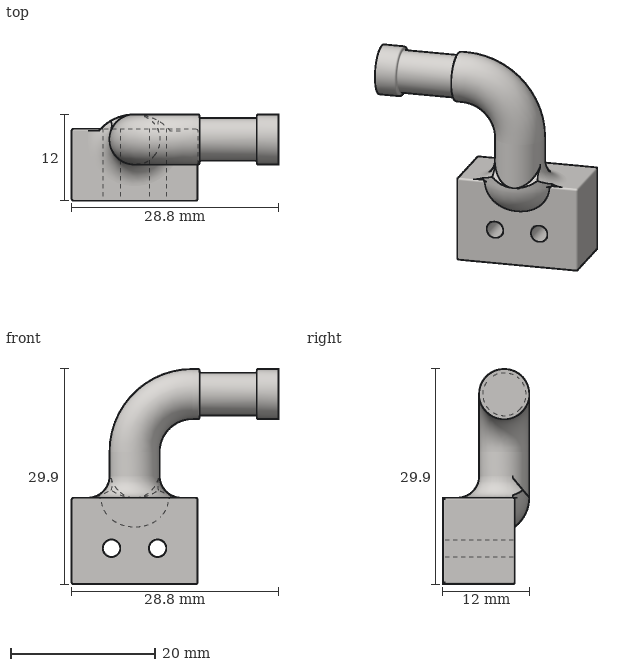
import cadquery as cq

block_length = 17.5
block_depth = 10.0
block_height = 12.0
edge_radius = 0.3

hole_diameter = 2.4
hole_spacing = 6.4
hole_height = 5.0

tube_radius = 3.5
bend_radius = 8.0
total_height = 29.88
total_length = 28.75
back_overhang = 2.0
root_fillet = 3.0

bulge_radius = 6.48
bulge_drop = 5.08
flare_fade_length = 2.5

neck_radius = 3.0
neck_start = 17.78
collar_start = 25.7
shoulder_radius = 0.25
neck_fillet = 0.12

tube_x = block_length / 2
tube_back_y = block_depth + back_overhang
tube_y = tube_back_y - tube_radius
bulge_y = tube_back_y - bulge_radius
outlet_z = total_height - tube_radius
bend_start_z = outlet_z - bend_radius
bend_end_x = tube_x + bend_radius


def mounting_block():
    """Block with rounded edges, except the two along the front face's top and bottom."""
    block = cq.Workplane("XY").box(block_length, block_depth, block_height, centered=False)
    return block.edges("|Y or |Z or >Y").fillet(edge_radius)


def upright():
    """Vertical part of the tube, standing on the level of the block top."""
    base = cq.Workplane("XY", origin=(tube_x, tube_y, block_height))
    return base.circle(tube_radius).extrude(bend_start_z - block_height)


def root_flare():
    """Concave flare all around the foot of the tube, filled in the middle."""
    foot_radius = tube_radius + root_fillet
    profile = (
        cq.Workplane("XZ", origin=(tube_x, tube_y, block_height))
        .lineTo(foot_radius, 0)
        .radiusArc((tube_radius, root_fillet), root_fillet)
        .lineTo(0, root_fillet)
        .close()
    )
    return profile.revolve(360, (0, 0, 0), (0, 1, 0))


def keep_between(body, y_start, y_end):
    """The part of a body that lies between two Y positions."""
    slab = cq.Workplane("XY", origin=(0, y_start, 0))
    return body.intersect(slab.box(total_length, y_end - y_start, total_height, centered=False))


def back_bulge():
    """Barrel-shaped swelling that carries the overhanging tube behind the block."""
    profile = (
        cq.Workplane("XZ", origin=(tube_x, bulge_y, block_height))
        .lineTo(bulge_radius, 0)
        .radiusArc((bulge_radius - bulge_drop, -bulge_drop), bulge_drop)
        .lineTo(0, -bulge_drop)
        .close()
    )
    barrel = profile.revolve(360, (0, 0, 0), (0, 1, 0))
    return keep_between(barrel, tube_y, tube_back_y)


def back_flare():
    """Flare above the bulge, sloping down until it vanishes at the back of the tube."""
    flare_top = block_height + root_fillet
    side_outline = [
        (tube_y, block_height),
        (tube_back_y, block_height),
        (tube_back_y - flare_fade_length, flare_top),
        (tube_y, flare_top),
    ]
    wedge = cq.Workplane("YZ").polyline(side_outline).close().extrude(total_length)
    plan = cq.Workplane("XY", origin=(tube_x, bulge_y, block_height))
    return plan.circle(bulge_radius).extrude(root_fillet).intersect(wedge).intersect(root_flare())


def block_with_root():
    """Block, upright, flare on the block top, and the bulge and flare behind the block."""
    top_flare = keep_between(root_flare(), 0, block_depth - edge_radius)
    return mounting_block().union(upright()).union(top_flare).union(back_bulge()).union(back_flare())


def bend():
    """Quarter torus that turns the tube from +Z to +X."""
    section = cq.Workplane("XY", origin=(tube_x, tube_y, bend_start_z)).circle(tube_radius)
    return section.revolve(90, (bend_radius, 0, 0), (bend_radius, 1, 0))


def outlet():
    """Horizontal tube end, reduced neck and collar, turned about the outlet axis."""
    shoulder = tube_radius - shoulder_radius
    neck_root = neck_radius + neck_fillet
    profile = (
        cq.Workplane("XZ", origin=(0, tube_y, outlet_z))
        .moveTo(bend_end_x, 0)
        .lineTo(bend_end_x, tube_radius)
        .lineTo(neck_start - shoulder_radius, tube_radius)
        .radiusArc((neck_start, shoulder), shoulder_radius)
        .lineTo(neck_start, neck_root)
        .radiusArc((neck_start + neck_fillet, neck_radius), -neck_fillet)
        .lineTo(collar_start - neck_fillet, neck_radius)
        .radiusArc((collar_start, neck_root), -neck_fillet)
        .lineTo(collar_start, shoulder)
        .radiusArc((collar_start + shoulder_radius, tube_radius), shoulder_radius)
        .lineTo(total_length, tube_radius)
        .lineTo(total_length, 0)
        .close()
    )
    return profile.revolve(360, (0, 0, 0), (1, 0, 0))


def cross_holes():
    """Pair of holes through the block along Y."""
    centres = [(side * hole_spacing / 2, 0) for side in (-1, 1)]
    plane = cq.Workplane("XZ", origin=(tube_x, 0, hole_height))
    return plane.pushPoints(centres).circle(hole_diameter / 2).extrude(-block_depth)


result = block_with_root().union(bend()).union(outlet()).cut(cross_holes())